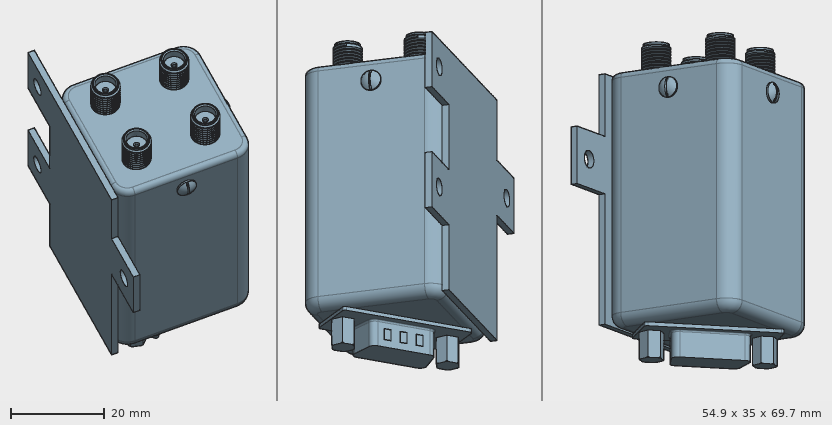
import cadquery as cq
import math

BOX_SIDE = 32.2
BOX_HEIGHT = 55.8
BOX_CORNER_RADIUS = 4.0
BOX_TOP_RADIUS = 1.3
BOX_BOTTOM_RADIUS = 2.6

COAX_PITCH = 16.2
COAX_HEIGHT = 7.0
COAX_DIAMETER = 6.35
COAX_TIP_DIAMETER = 5.65
COAX_TIP_HEIGHT = 0.45
COAX_TIP_CHAMFER_HEIGHT = 0.35
COAX_BORE_DIAMETER = 4.6
COAX_BORE_DEPTH = 2.2
COAX_MOUTH_DIAMETER = 5.2
COAX_MOUTH_DEPTH = 0.3
COAX_ROOT_DEPTH = 1.5
COAX_CONTACT_DIAMETER = 0.8
COAX_CONTACT_CHAMFER = 0.25
COAX_CONTACT_DEPTH = 2.0

THREADS_PER_INCH = 36
THREAD_PITCH = 25.4 / THREADS_PER_INCH
THREAD_DEPTH = 0.35
THREAD_GROOVE_WIDTH = 0.5
THREAD_BOTTOM = -0.78
THREAD_TOP = COAX_HEIGHT - COAX_TIP_HEIGHT - COAX_TIP_CHAMFER_HEIGHT - THREAD_GROOVE_WIDTH / 2
TOOL_CLEARANCE = 0.1

SCREW_DIAMETER = 4.5
SCREW_RIM_HEIGHT = 0.4
SCREW_HEIGHT = 1.29
SCREW_SLOT_WIDTH = 0.4
SCREW_SLOT_DEPTH = 0.75
SCREW_BELOW_TOP = 5.0
SCREW_SIDE_ANGLES = (0, 90, 180)

DSUB_ANGLE = -45
FLANGE_LENGTH = 30.8
FLANGE_WIDTH = 12.5
FLANGE_THICKNESS = 0.85
FLANGE_CORNER_RADIUS = 0.65
SHELL_NARROW_LENGTH = 15.0
SHELL_WIDTH = 8.26
SHELL_TAPER_ANGLE = 10
SHELL_CORNER_RADIUS = 1.5
SHELL_HEIGHT = 6.0
SHELL_ROOT_RADIUS = 0.4
DIMPLE_PITCH = 3.83
DIMPLE_COUNT = 3
DIMPLE_LENGTH = 1.6
DIMPLE_HEIGHT = 2.5
DIMPLE_DEPTH = 0.2
DIMPLE_BELOW_FLANGE = 3.0
JACK_NUT_PITCH = 25.0
JACK_NUT_CORNER_DIAMETER = 5.5
JACK_NUT_CHAMFER = 0.2

PLATE_THICKNESS = 1.524
PLATE_HEIGHT = 55.3
TAB_LENGTH = 11.33
TAB_HEIGHT = 12.7
TAB_HOLE_DIAMETER = 3.8
TAB_HOLE_FROM_END = 4.9
LEFT_TAB_PITCH = PLATE_HEIGHT / 2
RIGHT_TAB_BELOW_TOP = PLATE_HEIGHT / 4


def make_box():
    box = cq.Workplane("XY").rect(BOX_SIDE, BOX_SIDE).extrude(BOX_HEIGHT)
    box = box.edges("|Z").fillet(BOX_CORNER_RADIUS)
    box = box.faces(">Z").edges().fillet(BOX_TOP_RADIUS)
    return box.faces("<Z").edges().fillet(BOX_BOTTOM_RADIUS)


def make_thread_groove():
    """Helical V groove, opening outwards, from the buried root to just below the tip chamfer."""
    radius = COAX_DIAMETER / 2
    start = THREAD_BOTTOM
    height = THREAD_TOP - THREAD_BOTTOM
    root_radius = radius - THREAD_DEPTH
    slope = THREAD_GROOVE_WIDTH / 2 / THREAD_DEPTH
    mouth_radius = radius + TOOL_CLEARANCE
    mouth_half_width = slope * (THREAD_DEPTH + TOOL_CLEARANCE)
    path = cq.Wire.makeHelix(THREAD_PITCH, height, radius, center=cq.Vector(0, 0, start))
    return (
        cq.Workplane("XZ")
        .polyline([
            (root_radius, start),
            (mouth_radius, start - mouth_half_width),
            (mouth_radius, start + mouth_half_width),
        ])
        .close()
        .sweep(cq.Workplane(path), isFrenet=True)
    )


def make_coax():
    """Threaded barrel rooted below Z = 0, with a recessed face and a centre contact hole."""
    radius = COAX_DIAMETER / 2
    tip_bottom = COAX_HEIGHT - COAX_TIP_HEIGHT
    bore_floor = COAX_HEIGHT - COAX_BORE_DEPTH
    barrel = (
        cq.Workplane("XZ")
        .polyline([
            (0, -COAX_ROOT_DEPTH),
            (radius, -COAX_ROOT_DEPTH),
            (radius, tip_bottom - COAX_TIP_CHAMFER_HEIGHT),
            (COAX_TIP_DIAMETER / 2, tip_bottom),
            (COAX_TIP_DIAMETER / 2, COAX_HEIGHT),
            (COAX_MOUTH_DIAMETER / 2, COAX_HEIGHT),
            (COAX_BORE_DIAMETER / 2, COAX_HEIGHT - COAX_MOUTH_DEPTH),
            (COAX_BORE_DIAMETER / 2, bore_floor),
            (COAX_CONTACT_DIAMETER / 2 + COAX_CONTACT_CHAMFER, bore_floor),
            (COAX_CONTACT_DIAMETER / 2, bore_floor - COAX_CONTACT_CHAMFER),
            (COAX_CONTACT_DIAMETER / 2, bore_floor - COAX_CONTACT_DEPTH),
            (0, bore_floor - COAX_CONTACT_DEPTH),
        ])
        .close()
        .revolve(360, (0, 0, 0), (0, 1, 0))
    )
    return barrel.cut(make_thread_groove())


def make_screw_head():
    """Domed slotted head on the +X face of the box, with its slot upright."""
    radius = SCREW_DIAMETER / 2
    dome_height = SCREW_HEIGHT - SCREW_RIM_HEIGHT
    dome_radius = (radius**2 + dome_height**2) / (2 * dome_height)
    half_angle = math.asin(radius / dome_radius) / 2
    dome_middle = (
        SCREW_HEIGHT - dome_radius * (1 - math.cos(half_angle)),
        dome_radius * math.sin(half_angle),
    )
    head = (
        cq.Workplane("XY")
        .lineTo(0, radius)
        .lineTo(SCREW_RIM_HEIGHT, radius)
        .threePointArc(dome_middle, (SCREW_HEIGHT, 0))
        .close()
        .revolve(360, (0, 0, 0), (1, 0, 0))
    )
    slot = cq.Workplane("XY").box(2 * SCREW_SLOT_DEPTH, SCREW_SLOT_WIDTH, SCREW_DIAMETER)
    head = head.cut(slot.translate((SCREW_HEIGHT, 0, 0)))
    return head.translate((BOX_SIDE / 2, 0, BOX_HEIGHT - SCREW_BELOW_TOP))


def make_shell():
    """D-shaped shell hanging from Z = 0, with its narrow, dimpled side facing -Y."""
    narrow_half = SHELL_NARROW_LENGTH / 2
    wide_half = narrow_half + SHELL_WIDTH * math.tan(math.radians(SHELL_TAPER_ANGLE))
    side = SHELL_WIDTH / 2
    shell = (
        cq.Workplane("XY")
        .polyline([(-narrow_half, -side), (narrow_half, -side), (wide_half, side), (-wide_half, side)])
        .close()
        .extrude(-SHELL_HEIGHT)
        .edges("not(#Z)")
        .fillet(SHELL_CORNER_RADIUS)
    )
    for index in range(DIMPLE_COUNT):
        offset = (index - (DIMPLE_COUNT - 1) / 2) * DIMPLE_PITCH
        dimple = cq.Workplane("XY").box(DIMPLE_LENGTH, 2 * DIMPLE_DEPTH, DIMPLE_HEIGHT)
        shell = shell.cut(dimple.translate((offset, -side, -DIMPLE_BELOW_FLANGE)))
    return shell


def make_jack_nut():
    """Hex nut hanging from Z = 0, with the corners of its lower end turned off."""
    hexagon = cq.Workplane("XY").polygon(6, JACK_NUT_CORNER_DIAMETER).extrude(-SHELL_HEIGHT)
    turned = cq.Workplane("XY").circle(JACK_NUT_CORNER_DIAMETER / 2).extrude(-SHELL_HEIGHT)
    return hexagon.intersect(turned.faces("<Z").chamfer(JACK_NUT_CHAMFER))


def make_dsub():
    """Flange against the box bottom, the D shell below it and a hex nut at each end."""
    flange = (
        cq.Workplane("XY")
        .rect(FLANGE_LENGTH, FLANGE_WIDTH)
        .extrude(-FLANGE_THICKNESS)
        .edges("|Z")
        .fillet(FLANGE_CORNER_RADIUS)
    )
    flange_bottom = (0, 0, -FLANGE_THICKNESS)
    dsub = flange.union(make_shell().translate(flange_bottom))
    root = cq.selectors.BoxSelector(
        (-SHELL_NARROW_LENGTH, -SHELL_WIDTH / 2 - SHELL_ROOT_RADIUS, -FLANGE_THICKNESS - SHELL_ROOT_RADIUS),
        (SHELL_NARROW_LENGTH, SHELL_WIDTH / 2 + SHELL_ROOT_RADIUS, -FLANGE_THICKNESS + SHELL_ROOT_RADIUS),
    )
    dsub = dsub.edges(root).fillet(SHELL_ROOT_RADIUS)
    for end in (-1, 1):
        nut = make_jack_nut()
        dsub = dsub.union(nut.translate((end * JACK_NUT_PITCH / 2, 0, -FLANGE_THICKNESS)))
    return dsub.rotate((0, 0, 0), (0, 0, 1), DSUB_ANGLE)


def make_housing():
    housing = make_box()
    coax = make_coax()
    for x_side in (-1, 1):
        for y_side in (-1, 1):
            place = (x_side * COAX_PITCH / 2, y_side * COAX_PITCH / 2, BOX_HEIGHT)
            housing = housing.union(coax.translate(place))
    screw_head = make_screw_head()
    for angle in SCREW_SIDE_ANGLES:
        housing = housing.union(screw_head.rotate((0, 0, 0), (0, 0, 1), angle))
    return housing.union(make_dsub())


def make_plate():
    """Flat plate level with the box top: two tabs on the left and one on the right, each with a hole."""
    half_width = BOX_SIDE / 2
    tab_centre_x = half_width + TAB_LENGTH / 2
    hole_x = half_width + TAB_LENGTH - TAB_HOLE_FROM_END
    top_tab_z = BOX_HEIGHT - TAB_HEIGHT / 2
    tabs = [
        (-1, top_tab_z),
        (-1, top_tab_z - LEFT_TAB_PITCH),
        (1, top_tab_z - RIGHT_TAB_BELOW_TOP),
    ]
    sketch_plane = cq.Workplane("XZ", origin=(0, -BOX_SIDE / 2, 0))
    plate = (
        sketch_plane
        .center(0, BOX_HEIGHT - PLATE_HEIGHT / 2)
        .rect(BOX_SIDE, PLATE_HEIGHT)
        .extrude(PLATE_THICKNESS)
    )
    for side, tab_z in tabs:
        tab = sketch_plane.center(side * tab_centre_x, tab_z).rect(TAB_LENGTH, TAB_HEIGHT)
        plate = plate.union(tab.extrude(PLATE_THICKNESS))
    for side, tab_z in tabs:
        hole = sketch_plane.center(side * hole_x, tab_z).circle(TAB_HOLE_DIAMETER / 2)
        plate = plate.cut(hole.extrude(PLATE_THICKNESS))
    return plate


housing = make_housing()
plate = make_plate()

result = cq.Compound.makeCompound([housing.val(), plate.val()])